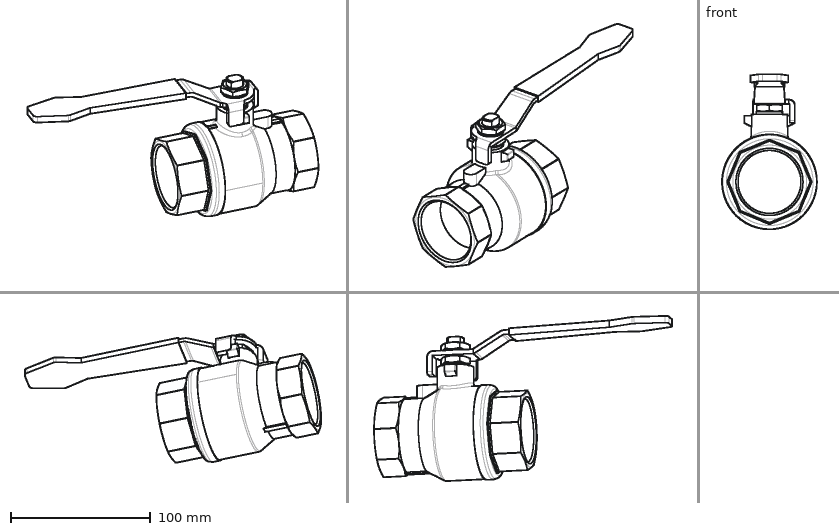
import cadquery as cq
import math


OVERALL_LENGTH = 211.4
OVERALL_HEIGHT = 111.0

END_Y = 53.65
BODY_R = 33.5
RING_R = 34.0
NECK_R = 26.7
HEX_INNER_Y = 35.6
CONE_NECK_Y = 21.0
CONE_BODY_Y = 8.5
CONE_FILLET = 2.8
RING_START_Y = -21.0
RING_END_Y = -26.0
CAP_EDGE_Y = -28.0
SHOULDER_Y = -30.2
SHOULDER_R = 31.0

OCTAGON_FLATS = 54.0
OCTAGON_CORNER_R = 29.15
END_CHAMFER_Y = 0.8
END_CHAMFER_R = 2.7
NECK_CHAMFER_Y = 1.3
NECK_CHAMFER_R = 2.3
FOOT_LENGTH = 1.0
FLARE = 1.0
BORE_R = 22.5
BORE_DEPTH = 24.0
BORE_CHAMFER = 1.5

COLLAR_R = 13.2
COLLAR_TOP_Z = 48.2
COLLAR_FILLET = 2.8
STOP_X = 18.1
STOP_WIDTH = 8.0
STOP_TOP_Z = 47.4
STOP_OUTER_Z = 42.0
STOP_ROOT_Z = 39.5
STOP_EDGE_FILLET = 0.5

PAD_WIDTH = 10.0
PAD_END_Y = 28.2
PAD_TOP_Z = 35.8
RIB_WIDTH = 3.6
RIB_TOP_Z = 27.8

STEM_R = 6.2
STEM_FLATS = 8.8
STEM_TOP_Z = 70.2
STEM_CHAMFER_Z = 0.6
STEM_CHAMFER_R = 1.0
NUT_FLATS = 18.5
NUT_HEIGHT = 5.5
NUT_CHAMFER_Z = 1.0
NUT_FACE_R = 8.4
WASHER_R = 9.4
WASHER_HEIGHT = 1.0

SHEET = 3.3
PLATE_TOP_Z = 58.9
PLATE_BOTTOM_Z = PLATE_TOP_Z - SHEET
ARM_START_Y = -14.0
LOWER_BEND_Y = -15.6
UPPER_BEND_Y = -37.0
GRIP_START_Y = -41.8
GRIP_OVERLAP = 1.0
GRIP_END_Y = END_Y - OVERALL_LENGTH
ARM_END_Y = GRIP_START_Y - GRIP_OVERLAP
GRIP_THICKNESS = 5.0
GRIP_TOP_Z = OVERALL_HEIGHT - RING_R
GRIP_SLOPE = 2.0
BEND_INNER_R = 3.0
HEAD_R = 13.8
HEAD_LEFT_X = -11.8
TAB_REACH = 18.2
TAB_THICKNESS = 3.8
TAB_BOTTOM_Z = 42.2
TAB_BEND_R = 4.5
TAB_CORNER_R = 2.0
TAB_SIDE_Y = -12.0
TAB_SKEW = 2.5
TAB_NEAR = 2.0
ARM_HALF_WIDTH = 11.1
ARM_END_HALF_WIDTH = 10.0

GRIP_START_HALF = 10.9
GRIP_WAIST_Y = -115.0
GRIP_WAIST_HALF = 8.4
GRIP_WIDEST_Y = -133.3
GRIP_WIDEST_HALF = 13.7
GRIP_END_HALF = 7.4
GRIP_CORNER_R = 3.0


def prism_x(points, x_start, x_end):
    """Extrude a (y, z) outline from x_start to x_end."""
    return cq.Workplane("YZ", origin=(x_start, 0, 0)).polyline(points).close().extrude(x_end - x_start)


def octagon(flats, y, length):
    """Octagonal bar with corners on X and Z, running from y towards -Y."""
    corner_diameter = flats / math.cos(math.pi / 8)
    return cq.Workplane("XZ", origin=(0, y, 0)).polygon(8, corner_diameter).extrude(length)


def octagon_end(sign, inner_y):
    """Octagonal end whose corners are turned to a cylinder and chamfered."""
    bar = octagon(OCTAGON_FLATS, END_Y, END_Y - inner_y)
    envelope = (
        cq.Workplane("XY")
        .moveTo(0, inner_y)
        .lineTo(OCTAGON_CORNER_R - NECK_CHAMFER_R, inner_y)
        .lineTo(OCTAGON_CORNER_R, inner_y + NECK_CHAMFER_Y)
        .lineTo(OCTAGON_CORNER_R, END_Y - END_CHAMFER_Y)
        .lineTo(OCTAGON_CORNER_R - END_CHAMFER_R, END_Y)
        .lineTo(0, END_Y)
        .close()
        .revolve(360, (0, 0, 0), (0, 1, 0))
    )
    end = bar.intersect(envelope)
    return end if sign > 0 else end.mirror("XZ")


def octagon_foot():
    """Wider octagonal foot of the front end, flaring out towards the body shoulder."""
    wide_flats = OCTAGON_FLATS + 2 * FLARE
    foot = octagon(wide_flats, SHOULDER_Y, FOOT_LENGTH + FLARE).faces("<Y").chamfer(FLARE)
    envelope = (
        cq.Workplane("XZ", origin=(0, SHOULDER_Y, 0))
        .circle(OCTAGON_CORNER_R + FLARE)
        .extrude(FOOT_LENGTH + FLARE)
        .faces("<Y")
        .chamfer(FLARE)
    )
    return foot.intersect(envelope)


def turned_body():
    turned = (
        cq.Workplane("XY")
        .moveTo(0, HEX_INNER_Y)
        .lineTo(NECK_R, HEX_INNER_Y)
        .lineTo(NECK_R, CONE_NECK_Y)
        .lineTo(BODY_R, CONE_BODY_Y)
        .lineTo(BODY_R, RING_START_Y)
        .lineTo(RING_R, RING_START_Y)
        .lineTo(RING_R, RING_END_Y)
        .lineTo(BODY_R, CAP_EDGE_Y)
        .radiusArc((SHOULDER_R, SHOULDER_Y), BODY_R - SHOULDER_R)
        .lineTo(0, SHOULDER_Y)
        .close()
        .revolve(360, (0, 0, 0), (0, 1, 0))
    )
    cone_edge = cq.selectors.NearestToPointSelector((BODY_R, CONE_BODY_Y, 0))
    return turned.edges("%CIRCLE").edges(cone_edge).fillet(CONE_FILLET)


def bore(sign):
    """Blind bore with a chamfered mouth."""
    cutter = (
        cq.Workplane("XY")
        .moveTo(0, END_Y - BORE_DEPTH)
        .lineTo(BORE_R, END_Y - BORE_DEPTH)
        .lineTo(BORE_R, END_Y - BORE_CHAMFER)
        .lineTo(BORE_R + BORE_CHAMFER, END_Y)
        .lineTo(0, END_Y)
        .close()
        .revolve(360, (0, 0, 0), (0, 1, 0))
    )
    return cutter if sign > 0 else cutter.mirror("XZ")


def collar_on(body):
    """Add the stem collar and blend its foot into the body."""
    collar = cq.Workplane("XY").circle(COLLAR_R).extrude(COLLAR_TOP_Z)
    joined = body.union(collar)
    foot_edges = joined.edges().filter(
        lambda edge: edge.geomType() == "BSPLINE" and edge.Center().z < COLLAR_TOP_Z
    )
    return foot_edges.fillet(COLLAR_FILLET)


def handle_stop(side):
    """Stop lug with a sloping underside; side is +1 or -1 along X."""
    lug = (
        cq.Workplane("XZ", origin=(0, STOP_WIDTH / 2, 0))
        .moveTo(0, STOP_TOP_Z)
        .lineTo(side * STOP_X, STOP_TOP_Z)
        .lineTo(side * STOP_X, STOP_OUTER_Z)
        .lineTo(side * COLLAR_R, STOP_ROOT_Z)
        .lineTo(0, STOP_ROOT_Z)
        .close()
        .extrude(STOP_WIDTH)
    )
    return lug.faces(">X" if side > 0 else "<X").edges().fillet(STOP_EDGE_FILLET)


def pad_and_ribs():
    pad_center_y = PAD_END_Y - PAD_WIDTH / 2
    pad = (
        cq.Workplane("XY")
        .moveTo(-PAD_WIDTH / 2, 0)
        .lineTo(-PAD_WIDTH / 2, pad_center_y)
        .threePointArc((0, PAD_END_Y), (PAD_WIDTH / 2, pad_center_y))
        .lineTo(PAD_WIDTH / 2, 0)
        .close()
        .extrude(PAD_TOP_Z)
    )
    neck_ribs = cq.Workplane("XY").box(
        RIB_WIDTH, HEX_INNER_Y, 2 * RIB_TOP_Z, centered=(True, False, True)
    )
    body_rib = (
        cq.Workplane("XY", origin=(0, RING_START_Y, 0))
        .box(RIB_WIDTH, -RING_START_Y, RING_R, centered=(True, False, False))
    )
    return pad.union(neck_ribs).union(body_rib)


def hex_nut(bottom_z):
    """Hexagon nut, corners along Y, chamfered at both ends."""
    corner_r = NUT_FLATS / math.sqrt(3)
    hexagon = (
        cq.Workplane("XY", origin=(0, 0, bottom_z))
        .polygon(6, 2 * corner_r)
        .extrude(NUT_HEIGHT)
        .rotate((0, 0, 0), (0, 0, 1), 30)
    )
    envelope = (
        cq.Workplane("XY", origin=(0, 0, bottom_z))
        .circle(corner_r)
        .extrude(NUT_HEIGHT)
        .edges()
        .chamfer(NUT_CHAMFER_Z, corner_r - NUT_FACE_R)
    )
    return hexagon.intersect(envelope)


def stem_and_nuts():
    stem = (
        cq.Workplane("XY")
        .circle(STEM_R)
        .extrude(STEM_TOP_Z)
        .faces(">Z")
        .edges()
        .chamfer(STEM_CHAMFER_Z, STEM_CHAMFER_R)
        .intersect(cq.Workplane("XY").box(STEM_FLATS, 2 * STEM_R, 2 * STEM_TOP_Z))
    )
    gland = (
        cq.Workplane("XY", origin=(0, 0, COLLAR_TOP_Z))
        .circle(WASHER_R)
        .extrude(PLATE_BOTTOM_Z - NUT_HEIGHT - COLLAR_TOP_Z)
    )
    washer = cq.Workplane("XY", origin=(0, 0, PLATE_TOP_Z)).circle(WASHER_R).extrude(WASHER_HEIGHT)
    lower_nut = hex_nut(PLATE_BOTTOM_Z - NUT_HEIGHT)
    stem_hole = cq.Workplane("XY").circle(STEM_R).extrude(STEM_TOP_Z)
    upper_nut = hex_nut(PLATE_TOP_Z + WASHER_HEIGHT).cut(stem_hole)
    return stem.union(gland).union(washer).union(lower_nut).union(upper_nut)


def bent_tab(x_start, x_end):
    """Plate edge folded down at y = TAB_REACH, from x_start to x_end."""
    tab = prism_x(
        [
            (0, PLATE_TOP_Z),
            (TAB_REACH, PLATE_TOP_Z),
            (TAB_REACH, TAB_BOTTOM_Z),
            (TAB_REACH - TAB_THICKNESS, TAB_BOTTOM_Z),
            (TAB_REACH - TAB_THICKNESS, PLATE_BOTTOM_Z),
            (0, PLATE_BOTTOM_Z),
        ],
        x_start,
        x_end,
    )
    return tab.edges("|X and >Y and >Z").fillet(TAB_BEND_R)


def head_outline():
    """Plan of the handle head, including both folded tabs."""
    arc_end = math.sqrt(HEAD_R**2 - TAB_NEAR**2)
    half = HEAD_R / math.sqrt(2)
    return (
        cq.Workplane("XY")
        .moveTo(HEAD_LEFT_X, TAB_REACH)
        .lineTo(TAB_NEAR - TAB_SKEW, TAB_REACH)
        .lineTo(TAB_NEAR, arc_end)
        .threePointArc((half, half), (arc_end, TAB_NEAR))
        .lineTo(TAB_REACH, TAB_NEAR - TAB_SKEW)
        .lineTo(TAB_REACH, TAB_SIDE_Y)
        .lineTo(arc_end, TAB_SIDE_Y)
        .lineTo(ARM_HALF_WIDTH, ARM_START_Y)
        .lineTo(ARM_HALF_WIDTH, LOWER_BEND_Y)
        .lineTo(-ARM_HALF_WIDTH, LOWER_BEND_Y)
        .close()
        .extrude(PLATE_TOP_Z)
    )


def handle_head():
    rear_tab = bent_tab(HEAD_LEFT_X, TAB_NEAR)
    side_tab = bent_tab(-TAB_NEAR, -TAB_SIDE_Y).rotate((0, 0, 0), (0, 0, 1), -90)
    flat_reach = TAB_REACH - TAB_BEND_R
    plate = (
        cq.Workplane("XY", origin=(0, 0, PLATE_BOTTOM_Z))
        .moveTo(-flat_reach, LOWER_BEND_Y)
        .lineTo(flat_reach, LOWER_BEND_Y)
        .lineTo(flat_reach, flat_reach)
        .lineTo(-flat_reach, flat_reach)
        .close()
        .extrude(SHEET)
    )
    head = plate.union(rear_tab).union(side_tab).intersect(head_outline())
    tab_end = head.faces("<Z").edges()
    rear_corners = tab_end.filter(lambda edge: edge.Center().y > HEAD_R).edges("not |X")
    side_corners = tab_end.filter(lambda edge: edge.Center().x > HEAD_R).edges("not |Y")
    return rear_corners.add(side_corners).fillet(TAB_CORNER_R)


def grip_center_z(y):
    """Height of the middle of the grip, which climbs towards its free end."""
    end_center = GRIP_TOP_Z - GRIP_THICKNESS / 2 / math.cos(math.radians(GRIP_SLOPE))
    return end_center - (y - GRIP_END_Y) * math.tan(math.radians(GRIP_SLOPE))


def handle_arm():
    """Cranked sheet from the head up to the grip."""
    center_line = [
        (0, PLATE_TOP_Z - SHEET / 2),
        (LOWER_BEND_Y, PLATE_TOP_Z - SHEET / 2),
        (UPPER_BEND_Y, grip_center_z(UPPER_BEND_Y)),
        (ARM_END_Y, grip_center_z(ARM_END_Y)),
    ]
    angles = [
        math.atan2(z2 - z1, y1 - y2) for (y1, z1), (y2, z2) in zip(center_line, center_line[1:])
    ]
    miters = [angles[0]] + [(a + b) / 2 for a, b in zip(angles, angles[1:])] + [angles[-1]]
    turns = [0] + [(b - a) / 2 for a, b in zip(angles, angles[1:])] + [0]

    def side(offset):
        points = []
        for (y, z), miter, turn in zip(center_line, miters, turns):
            reach = offset / math.cos(turn)
            points.append((y + reach * math.sin(miter), z + reach * math.cos(miter)))
        return points

    top = side(SHEET / 2)
    bottom = side(-SHEET / 2)
    arm = prism_x(top + bottom[::-1], -TAB_REACH, TAB_REACH)
    bends = [
        (top[1], BEND_INNER_R),
        (bottom[1], BEND_INNER_R + SHEET),
        (top[2], BEND_INNER_R + SHEET),
        (bottom[2], BEND_INNER_R),
    ]
    for (y, z), radius in bends:
        arm = arm.edges(cq.selectors.NearestToPointSelector((0, y, z))).fillet(radius)
    plan = (
        cq.Workplane("XY")
        .moveTo(-ARM_HALF_WIDTH, ARM_START_Y)
        .lineTo(ARM_HALF_WIDTH, ARM_START_Y)
        .lineTo(ARM_END_HALF_WIDTH, ARM_END_Y)
        .lineTo(-ARM_END_HALF_WIDTH, ARM_END_Y)
        .close()
        .extrude(GRIP_TOP_Z)
    )
    return arm.intersect(plan)


def grip():
    stations = [
        (GRIP_START_HALF, GRIP_START_Y),
        (GRIP_WAIST_HALF, GRIP_WAIST_Y),
        (GRIP_WIDEST_HALF, GRIP_WIDEST_Y),
        (GRIP_END_HALF, GRIP_END_Y),
    ]
    outline = stations + [(-x, y) for x, y in reversed(stations)]
    plan = (
        cq.Workplane("XY")
        .polyline(outline)
        .close()
        .extrude(GRIP_TOP_Z)
    )
    paddle_corners = plan.edges("|Z").filter(lambda edge: edge.Center().y < GRIP_WAIST_Y - GRIP_CORNER_R)
    plan = paddle_corners.fillet(GRIP_CORNER_R)
    half = GRIP_THICKNESS / 2 / math.cos(math.radians(GRIP_SLOPE))
    start_z = grip_center_z(GRIP_START_Y)
    end_z = grip_center_z(GRIP_END_Y)
    slab = prism_x(
        [
            (GRIP_START_Y, start_z - half),
            (GRIP_START_Y, start_z + half),
            (GRIP_END_Y, end_z + half),
            (GRIP_END_Y, end_z - half),
        ],
        -TAB_REACH,
        TAB_REACH,
    )
    return plan.intersect(slab)


body = collar_on(turned_body()).union(pad_and_ribs())
body = body.union(octagon_end(1, HEX_INNER_Y))
body = body.union(octagon_end(-1, -SHOULDER_Y - NECK_CHAMFER_Y)).union(octagon_foot())
for side in (1, -1):
    body = body.cut(bore(side)).union(handle_stop(side))

handle = handle_head().union(handle_arm()).union(grip())
result = body.union(stem_and_nuts()).union(handle)